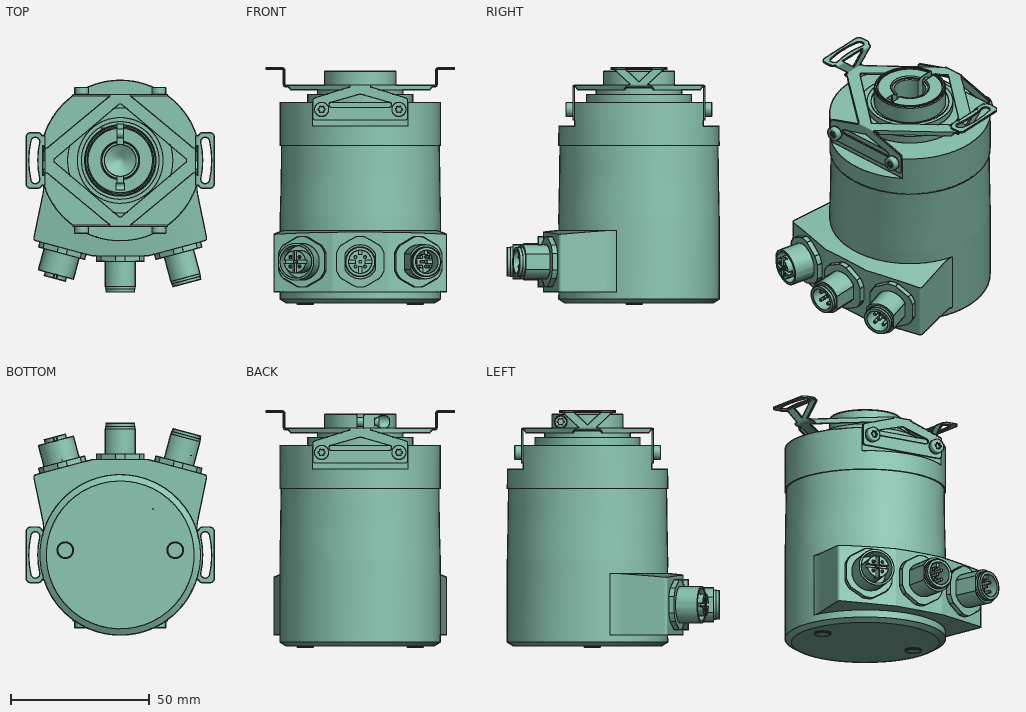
import cadquery as cq
import math

BODY_R = 29.0
LABEL_TOP_R = 28.55
FOOT_H = 0.6
BASE_CHAMFER_R = 26.7
BASE_CHAMFER_Z = 2.0
LABEL_Z0 = 31.55
LABEL_Z1 = 57.45
BODY_TOP = 73.0
FLAT_Y = 23.25
FLAT_Z = 64.4
FOOT_R = 3.0
FOOT_X, FOOT_Y = 19.8, -1.7

COLLAR_R, COLLAR_TOP = 19.0, 75.9
LIP_R, LIP_TOP = 15.5, 78.2
LIP_BORE_R, LIP_BORE_FLOOR = 14.0, 77.8
HUB_R, HUB_TOP = 12.9, 84.4
HUB_CHAMFER = 0.3
RING_GROOVE_R0, RING_GROOVE_R1, RING_GROOVE_D = 11.6, 12.05, 0.25
BORE_R, BORE_DEPTH = 5.7, 25.65
MOUTH_R, MOUTH_DEPTH, MOUTH_CHAMFER = 6.6, 0.8, 0.4
DRILL_POINT_ANGLE = 118.0
SLIT_W, SLIT_FLOOR = 2.4, 76.1
SLIT_OVERRUN = 0.2
CROSS_HOLE_L, CROSS_HOLE_Y, CROSS_HOLE_R = 3.1, -9.4, 1.3
CLAMP_Y, CLAMP_Z = 9.7, 81.5
CLAMP_POCKET_R, CLAMP_HEAD_R, CLAMP_SHANK_R = 2.3, 2.05, 1.6
CLAMP_SEAT_X, CLAMP_HEAD_L, CLAMP_SHANK_L = 5.1, 1.7, 7.7

SHEET = 0.6
PLATE_TOP = 79.2
BEND_INNER_R = 0.3
BEND_OUTER_R = BEND_INNER_R + SHEET
EDGE_ROUND = 0.5
PLATE_TIP_X, PLATE_TIP_HALF = 26.4, 4.45
PLATE_SIDE_HALF = 3.8
OPENING_X, OPENING_Y, OPENING_CORNER_R = 24.45, 20.7, 0.85
EDGE_DROP = 1.7
EDGE_GAP = 0.6
TAB_TOP = 85.5
TAB_SPAN, TAB_HALF_Y, TAB_CORNER_R = 68.0, 10.1, 1.7
TAB_END_X = TAB_SPAN / 2
TAB_SLOT_R, TAB_SLOT_W, TAB_SLOT_END_Y = 31.4, 3.2, 6.75
WEB_X = 27.2
WEB_FOOT_HALF, WEB_FOOT_Z, WEB_HEAD_HALF = 3.2, 79.5, 9.0
WEB_ARM = 3.6
WEB_POINT_Z = 80.4
EAR_HALF_X, EAR_BOTTOM, EAR_SHOULDER_Z, EAR_CORNER_R = 17.1, 66.6, 74.4, 1.0
WINDOW_HALF_X, WINDOW_Z0, WINDOW_Z1, WINDOW_PEAK_Z = 11.3, 71.1, 73.1, 76.0
SCREW_X, SCREW_Z, SCREW_HEAD_R, SCREW_HEAD_H, SCREW_ROUND = 13.9, 70.45, 2.6, 2.5, 0.4
TORX_R, TORX_DEPTH = 1.3, 0.85

BOX_Z0 = 4.6
BOX_ROOF_Z = 26.85
ROOF_SLOPE = 0.11
FACE_Y, FACE_HALF_X = 34.45, 10.0
FACE_ANGLE = 15.0
CORNER_X = 31.4
BOX_CORNER_R = 1.0
BLEND_X0, BLEND_Y0 = 28.0, -12.3
BLEND_X1, BLEND_Y1 = 27.9, -8.0

PORT_Z = 15.5
PORT_OFFSET = 11.0
NUT_APOTHEM, NUT_ROUND_R, NUT_H = 8.6, 9.15, 2.0
MALE_R, MALE_FLAT, MALE_END = 6.15, 5.5, 11.0
MALE_RIM_R, MALE_RIM_END = 5.4, 12.0
MALE_TIP_R, MALE_TIP_END = 5.2, 13.1
MALE_BORE_R, MALE_BORE_DEPTH = 4.2, 7.7
FEMALE_R, FEMALE_FLAT, FEMALE_END = 6.7, 6.6, 9.9
FEMALE_BORE_R, FEMALE_BORE_DEPTH = 5.9, 7.3
INSERT_R, INSERT_END = 4.0, 11.4
PIN_PITCH, PIN_R, PIN_L, CONTACT_DEPTH = 3.4, 0.5, 6.4, 1.7
KEY_RIB_W, KEY_RIB_H = 1.1, 1.5
CROSS_W, CROSS_DEPTH, CROSS_INNER_R = 1.3, 0.4, 1.6


def disc(radius, z0, z1):
    return cq.Workplane("XY").workplane(offset=z0).circle(radius).extrude(z1 - z0)


def block(x0, x1, y0, y1, z0, z1):
    return cq.Workplane("XY").box(x1 - x0, y1 - y0, z1 - z0, centered=False).translate((x0, y0, z0))


def facing(distance):
    """Sketch plane looking along -Y, at the given distance in front of the XZ plane."""
    return cq.Workplane("XZ").workplane(offset=distance)


def torx_socket(plane):
    """Six-lobed driver recess sunk against the normal of the given plane."""
    lobe_r = TORX_R / 4
    core_r = TORX_R - lobe_r
    core = plane.circle(core_r).extrude(-TORX_DEPTH)
    lobes = plane.polarArray(core_r, 0, 360, 6).circle(lobe_r).extrude(-TORX_DEPTH)
    return core.union(lobes)


def housing():
    profile = [
        (0, FOOT_H),
        (BASE_CHAMFER_R, FOOT_H),
        (BODY_R, BASE_CHAMFER_Z),
        (BODY_R, LABEL_Z0),
        (LABEL_TOP_R, LABEL_Z1),
        (BODY_R, LABEL_Z1),
        (BODY_R, BODY_TOP),
        (COLLAR_R, BODY_TOP),
        (COLLAR_R, COLLAR_TOP),
        (LIP_R, COLLAR_TOP),
        (LIP_R, LIP_TOP),
        (LIP_BORE_R, LIP_TOP),
        (LIP_BORE_R, LIP_BORE_FLOOR),
        (0, LIP_BORE_FLOOR),
    ]
    body = cq.Workplane("XZ").polyline(profile).close().revolve(360, (0, 0), (0, 1))
    step = block(-BODY_R, BODY_R, FLAT_Y, BODY_R, FLAT_Z, BODY_TOP)
    body = body.cut(step).cut(step.mirror("XZ"))
    for side in (-1, 1):
        foot = disc(FOOT_R, 0, FOOT_H).faces("<Z").chamfer(FOOT_H / 2)
        body = body.union(foot.translate((side * FOOT_X, FOOT_Y, 0)))
    return body


def connector_box():
    face_slope = math.tan(math.radians(FACE_ANGLE))
    corner_y = -FACE_Y + (CORNER_X - FACE_HALF_X) * face_slope
    height = BOX_ROOF_Z - BOX_Z0

    outline = (
        cq.Workplane("XY").workplane(offset=BOX_Z0)
        .moveTo(0, -FACE_Y)
        .lineTo(FACE_HALF_X, -FACE_Y)
        .lineTo(CORNER_X, corner_y)
        .lineTo(BLEND_X0, BLEND_Y0)
        .tangentArcPoint((BLEND_X1, BLEND_Y1), relative=False)
        .lineTo(0, BLEND_Y1)
        .close()
    )
    half = outline.extrude(height)
    corner = cq.selectors.NearestToPointSelector((CORNER_X, corner_y, BOX_Z0 + height / 2))
    half = half.edges("|Z").edges(corner).fillet(BOX_CORNER_R)
    box = half.union(half.mirror("YZ"))

    reach = 2 * BODY_R
    roof = (
        cq.Workplane("XZ")
        .moveTo(0, 0)
        .lineTo(reach, 0)
        .lineTo(reach, BOX_ROOF_Z - ROOF_SLOPE * (reach - BODY_R))
        .lineTo(BODY_R, BOX_ROOF_Z)
        .lineTo(0, BOX_ROOF_Z)
        .close()
        .revolve(360, (0, 0), (0, 1))
    )
    return box.intersect(roof)


def hex_nut():
    across_corners = 2 * NUT_APOTHEM / math.cos(math.pi / 6)
    hexagon = facing(0).polygon(6, across_corners).extrude(NUT_H)
    hexagon = hexagon.rotate((0, 0, 0), (0, 1, 0), 30)
    return hexagon.intersect(facing(0).circle(NUT_ROUND_R).extrude(NUT_H))


def flatted_barrel(radius, flat, end):
    round_part = facing(0).circle(radius).extrude(end)
    return round_part.intersect(facing(0).rect(2 * flat, 2 * radius).extrude(end))


def male_connector():
    floor = MALE_TIP_END - MALE_BORE_DEPTH
    port = hex_nut().union(flatted_barrel(MALE_R, MALE_FLAT, MALE_END))
    port = port.union(facing(0).circle(MALE_RIM_R).extrude(MALE_RIM_END))
    port = port.union(facing(0).circle(MALE_TIP_R).extrude(MALE_TIP_END))
    port = port.cut(facing(floor).circle(MALE_BORE_R).extrude(MALE_BORE_DEPTH))

    arm = MALE_BORE_R - CROSS_INNER_R
    arm_mid = CROSS_INNER_R + arm / 2
    for angle in (0, 90, 180):
        groove = facing(floor).center(arm_mid, 0).rect(arm, CROSS_W).extrude(-CROSS_DEPTH)
        port = port.cut(groove.rotate((0, 0, 0), (0, 1, 0), angle))

    pin_corners = facing(floor).rect(PIN_PITCH, PIN_PITCH, forConstruction=True).vertices()
    pins = pin_corners.circle(PIN_R).extrude(PIN_L)
    pins = pins.union(facing(floor).circle(PIN_R).extrude(PIN_L))
    rib_floor = MALE_BORE_R - KEY_RIB_H
    rib_height = (MALE_BORE_R + MALE_TIP_R) / 2 - rib_floor
    rib = facing(floor).center(0, rib_floor + rib_height / 2).rect(KEY_RIB_W, rib_height).extrude(PIN_L)
    return port.union(pins).union(rib)


def female_connector():
    floor = FEMALE_END - FEMALE_BORE_DEPTH
    port = hex_nut().union(flatted_barrel(FEMALE_R, FEMALE_FLAT, FEMALE_END))
    port = port.cut(facing(floor).circle(FEMALE_BORE_R).extrude(FEMALE_BORE_DEPTH))

    end = facing(INSERT_END)
    insert = facing(0).circle(INSERT_R).extrude(INSERT_END)
    contacts = end.rect(PIN_PITCH, PIN_PITCH, forConstruction=True).vertices().circle(PIN_R)
    insert = insert.cut(contacts.extrude(-CONTACT_DEPTH))
    insert = insert.cut(end.rect(2 * INSERT_R, CROSS_W).extrude(-CONTACT_DEPTH))
    insert = insert.cut(end.rect(CROSS_W, 2 * INSERT_R).extrude(-CONTACT_DEPTH))
    insert = insert.union(end.circle(PIN_R).extrude(-CONTACT_DEPTH))
    return port.union(insert)


def connectors():
    angle = math.radians(FACE_ANGLE)
    x = FACE_HALF_X + PORT_OFFSET * math.cos(angle)
    y = -FACE_Y + PORT_OFFSET * math.sin(angle)
    origin, up = (0, 0, 0), (0, 0, 1)
    middle = male_connector().translate((0, -FACE_Y, PORT_Z))
    right = male_connector().rotate(origin, up, FACE_ANGLE).translate((x, y, PORT_Z))
    left = female_connector().rotate(origin, up, -FACE_ANGLE).translate((-x, y, PORT_Z))
    return [middle, right, left]


def clamp_screw():
    """Screw lying along X in the hub, with its head towards -X."""
    shank = (
        cq.Workplane("YZ").workplane(offset=-CLAMP_SEAT_X).center(CLAMP_Y, CLAMP_Z)
        .circle(CLAMP_SHANK_R).extrude(CLAMP_SHANK_L)
    )
    head_center = (-CLAMP_SEAT_X - CLAMP_HEAD_L, CLAMP_Y, CLAMP_Z)
    head_top = cq.Workplane(cq.Plane(origin=head_center, xDir=(0, 1, 0), normal=(-1, 0, 0)))
    head = head_top.circle(CLAMP_HEAD_R).extrude(-CLAMP_HEAD_L)
    return shank.union(head.cut(torx_socket(head_top)))


def hub_blank():
    hub = disc(HUB_R, COLLAR_TOP, HUB_TOP).faces(">Z").edges().chamfer(HUB_CHAMFER)
    groove = disc(RING_GROOVE_R1, HUB_TOP - RING_GROOVE_D, HUB_TOP)
    return hub.cut(groove.cut(disc(RING_GROOVE_R0, HUB_TOP - RING_GROOVE_D, HUB_TOP)))


def hub_bore():
    floor = HUB_TOP - BORE_DEPTH
    tip_z = floor - BORE_R / math.tan(math.radians(DRILL_POINT_ANGLE / 2))
    step_z = HUB_TOP - MOUTH_DEPTH
    profile = [
        (0, tip_z),
        (BORE_R, floor),
        (BORE_R, step_z),
        (MOUTH_R, step_z),
        (MOUTH_R, HUB_TOP - MOUTH_CHAMFER),
        (MOUTH_R + MOUTH_CHAMFER, HUB_TOP),
        (0, HUB_TOP),
    ]
    return cq.Workplane("XZ").polyline(profile).close().revolve(360, (0, 0), (0, 1))


def hub_cutters():
    half = SLIT_W / 2
    through = block(-half, half, 0, HUB_R + SLIT_OVERRUN, SLIT_FLOOR, HUB_TOP)
    cross_start = CROSS_HOLE_Y + CROSS_HOLE_R
    blind = block(-half, half, cross_start, 0, SLIT_FLOOR, HUB_TOP)
    cross_half = CROSS_HOLE_L / 2
    cross_hole = (
        cq.Workplane("YZ").workplane(offset=-cross_half).center(CROSS_HOLE_Y, CLAMP_Z)
        .circle(CROSS_HOLE_R).extrude(CROSS_HOLE_L)
    )
    cross_end = CROSS_HOLE_Y - CROSS_HOLE_R
    mouth = block(-cross_half, cross_half, cross_end, cross_start, CLAMP_Z, HUB_TOP)
    cross_hole = cross_hole.union(mouth)
    pocket = (
        cq.Workplane("YZ").workplane(offset=-CLAMP_SEAT_X).center(CLAMP_Y, CLAMP_Z)
        .circle(CLAMP_POCKET_R).extrude(-HUB_R)
    )
    return [through, blind, cross_hole, pocket]


def coupling_plate():
    side_corner = (PLATE_SIDE_HALF, FLAT_Y)
    right_half = [
        side_corner,
        (PLATE_TIP_X, PLATE_TIP_HALF),
        (PLATE_TIP_X, -PLATE_TIP_HALF),
        (PLATE_SIDE_HALF, -FLAT_Y),
    ]
    outline = right_half + [(-x, -y) for x, y in right_half]
    opening = [(OPENING_X, 0), (0, OPENING_Y), (-OPENING_X, 0), (0, -OPENING_Y)]
    base = cq.Workplane("XY").workplane(offset=PLATE_TOP - SHEET)
    plate = base.polyline(outline).close().extrude(SHEET)
    cutter = base.polyline(opening).close().extrude(SHEET).edges("|Z").fillet(OPENING_CORNER_R)
    plate = plate.cut(cutter)

    run = (PLATE_TIP_X - PLATE_SIDE_HALF, PLATE_TIP_HALF - FLAT_Y)
    length = math.hypot(*run)
    tilt = math.degrees(math.atan2(run[1], run[0]))
    edge = block(EDGE_GAP, length - EDGE_GAP, -SHEET, 0, -EDGE_DROP, 0)
    edge = edge.edges("|X and >Y and >Z").fillet(EDGE_ROUND)
    edge = edge.edges("|Y and <Z").chamfer(EDGE_DROP - SHEET)
    edge = edge.rotate((0, 0, 0), (0, 0, 1), tilt).translate((*side_corner, PLATE_TOP))
    for copy in (edge, edge.mirror("YZ")):
        plate = plate.union(copy).union(copy.mirror("XZ"))
    return plate


def coupling_tab():
    """Raised mounting tab on the +X side with its V-shaped web."""
    web_outer = WEB_X + SHEET
    flat_floor = TAB_TOP - SHEET
    strip_profile = [
        (PLATE_TIP_X, PLATE_TOP - SHEET),
        (web_outer, PLATE_TOP - SHEET),
        (web_outer, flat_floor),
        (TAB_END_X, flat_floor),
        (TAB_END_X, TAB_TOP),
        (WEB_X, TAB_TOP),
        (WEB_X, PLATE_TOP),
        (PLATE_TIP_X, PLATE_TOP),
    ]
    strip = facing(-TAB_HALF_Y).polyline(strip_profile).close().extrude(2 * TAB_HALF_Y)
    inner_bends = [(WEB_X, PLATE_TOP), (web_outer, flat_floor)]
    outer_bends = [(web_outer, PLATE_TOP - SHEET), (WEB_X, TAB_TOP)]
    for bends, radius in ((inner_bends, BEND_INNER_R), (outer_bends, BEND_OUTER_R)):
        for x, z in bends:
            strip = strip.edges("|Y").edges(cq.selectors.NearestToPointSelector((x, 0, z))).fillet(radius)

    right_side = [
        (PLATE_TIP_HALF, PLATE_TOP - SHEET),
        (PLATE_TIP_HALF, PLATE_TOP),
        (WEB_FOOT_HALF, WEB_FOOT_Z),
        (WEB_HEAD_HALF, flat_floor),
        (TAB_HALF_Y, flat_floor),
        (TAB_HALF_Y, TAB_TOP),
    ]
    left_side = [(-y, z) for y, z in reversed(right_side)]
    gap_half = WEB_HEAD_HALF - WEB_ARM
    gap = [(0, WEB_POINT_Z), (gap_half, TAB_TOP), (-gap_half, TAB_TOP)]
    side = cq.Workplane("YZ")
    silhouette = side.polyline(right_side + left_side).close().extrude(TAB_END_X)
    silhouette = silhouette.cut(side.polyline(gap).close().extrude(WEB_X + BEND_OUTER_R))

    bend_end = WEB_X + BEND_OUTER_R
    plan = block(bend_end, TAB_END_X, -TAB_HALF_Y, TAB_HALF_Y, 0, TAB_TOP).edges("|Z").fillet(TAB_CORNER_R)
    neck_end = bend_end + TAB_CORNER_R / 2
    plan = plan.union(block(0, neck_end, -WEB_HEAD_HALF, WEB_HEAD_HALF, 0, TAB_TOP))
    tab_sheet = strip.intersect(silhouette).intersect(plan)

    end_angle = math.asin(TAB_SLOT_END_Y / TAB_SLOT_R)
    inner = TAB_SLOT_R - TAB_SLOT_W / 2
    outer = TAB_SLOT_R + TAB_SLOT_W / 2

    def polar(radius, angle):
        return (radius * math.cos(angle), radius * math.sin(angle))

    past_end = end_angle + TAB_SLOT_W / 2 / TAB_SLOT_R
    slot = (
        cq.Workplane("XY").workplane(offset=flat_floor)
        .moveTo(*polar(inner, -end_angle))
        .threePointArc(polar(inner, 0), polar(inner, end_angle))
        .threePointArc(polar(TAB_SLOT_R, past_end), polar(outer, end_angle))
        .threePointArc(polar(outer, 0), polar(outer, -end_angle))
        .threePointArc(polar(TAB_SLOT_R, -past_end), polar(inner, -end_angle))
        .close()
        .extrude(SHEET)
    )
    return tab_sheet.cut(slot)


def coupling_ear():
    """Ear screwed to the -Y flat."""
    outline = [
        (-EAR_HALF_X, EAR_BOTTOM),
        (EAR_HALF_X, EAR_BOTTOM),
        (EAR_HALF_X, EAR_SHOULDER_Z),
        (PLATE_SIDE_HALF, PLATE_TOP - SHEET),
        (PLATE_SIDE_HALF, PLATE_TOP),
        (-PLATE_SIDE_HALF, PLATE_TOP),
        (-PLATE_SIDE_HALF, PLATE_TOP - SHEET),
        (-EAR_HALF_X, EAR_SHOULDER_Z),
    ]
    ear = facing(FLAT_Y).polyline(outline).close().extrude(SHEET)
    ear = ear.edges("|Y and (<X or >X)").fillet(EAR_CORNER_R)
    ear = ear.edges("|X and >Z and <Y").fillet(EDGE_ROUND)

    end_r = (WINDOW_Z1 - WINDOW_Z0) / 2
    straight = WINDOW_HALF_X - end_r
    window = (
        facing(FLAT_Y)
        .moveTo(-straight, WINDOW_Z0)
        .lineTo(straight, WINDOW_Z0)
        .threePointArc((WINDOW_HALF_X, WINDOW_Z0 + end_r), (straight, WINDOW_Z1))
        .lineTo(0, WINDOW_PEAK_Z)
        .lineTo(-straight, WINDOW_Z1)
        .threePointArc((-WINDOW_HALF_X, WINDOW_Z0 + end_r), (-straight, WINDOW_Z0))
        .close()
        .extrude(SHEET)
    )
    ear = ear.cut(window)

    seat = FLAT_Y + SHEET
    for x in (-SCREW_X, SCREW_X):
        head = facing(seat).center(x, SCREW_Z).circle(SCREW_HEAD_R).extrude(SCREW_HEAD_H)
        head = head.edges().fillet(SCREW_ROUND)
        ear = ear.union(head.cut(torx_socket(facing(seat + SCREW_HEAD_H).center(x, SCREW_Z))))
    return ear


result = housing().union(connector_box())
for port in connectors():
    result = result.union(port)

result = result.union(hub_blank()).cut(hub_bore())
for cutter in hub_cutters():
    result = result.cut(cutter)
result = result.union(clamp_screw())

tab = coupling_tab()
ear = coupling_ear()
for piece in (coupling_plate(), tab, tab.mirror("YZ"), ear, ear.mirror("XZ")):
    result = result.union(piece)